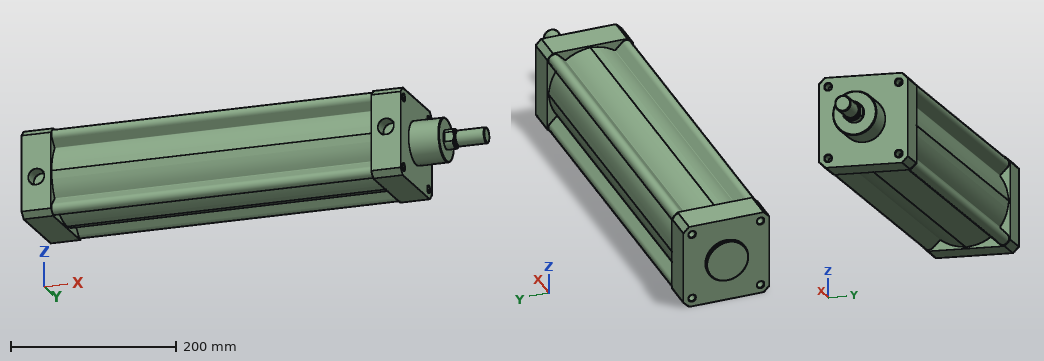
import cadquery as cq
import math

stroke = 350.0
stroke_allowance = 138.0
housing_length = stroke + stroke_allowance
cap_length = 38.0
rear_boss_length = 4.0
front_boss_length = 39.0
shank_length = 13.0
thread_length = 39.0

rear_cap_start = rear_boss_length
barrel_start = rear_cap_start + cap_length
barrel_length = housing_length - 2 * cap_length
front_cap_start = barrel_start + barrel_length
front_cap_end = front_cap_start + cap_length
rod_start = front_cap_end + front_boss_length

cap_width = 112.0
cap_corner_chamfer = 7.5
boss_diameter = 55.0
boss_chamfer = 1.0
bolt_pitch = 89.0
bolt_core_diameter = 8.5
bolt_countersink_diameter = 10.0
bolt_hole_depth = 16.0
port_diameter = 20.5
port_depth = 20.0
port_offset = 6.0

barrel_radius = 53.5
barrel_width = 108.4
ridge_half_width = 10.0
lobe_radius = 7.5
lobe_center = barrel_width / 2 - lobe_radius
valley_radius = 0.8

shank_diameter = 24.5
shank_chamfer = 1.5
wrench_flat_width = 21.5
wrench_flat_setback = 1.5
thread_diameter = 20.0
thread_chamfer = 1.0
undercut_diameter = 18.0
undercut_length = 2.0


def section_plane(x):
    """Plane square to the cylinder axis, its local x along +Y and its normal along +X."""
    return cq.Workplane("YZ", origin=(x, 0, 0))


def polar_point(radius, angle):
    """Point at an angle in degrees from +Y towards +Z."""
    return radius * math.cos(math.radians(angle)), radius * math.sin(math.radians(angle))


def make_cap(start, outward, boss_length, port_z):
    """End cap with a boss and four bolt holes on its outer face; outward is the X sign of that face."""
    cap = section_plane(start).rect(cap_width, cap_width).extrude(cap_length)
    cap = cap.edges("|X").chamfer(cap_corner_chamfer)

    outer_face = start + (cap_length if outward > 0 else 0)
    boss = section_plane(outer_face).circle(boss_diameter / 2).extrude(outward * boss_length)
    end_face = ">X" if outward > 0 else "<X"
    boss = boss.faces(end_face).edges().chamfer(boss_chamfer)
    cap = cap.union(boss)

    bolt_circles = section_plane(outer_face).rect(bolt_pitch, bolt_pitch, forConstruction=True).vertices()
    cap = cap.cut(bolt_circles.circle(bolt_core_diameter / 2).extrude(-outward * bolt_hole_depth))
    countersink_depth = (bolt_countersink_diameter - bolt_core_diameter) / 2
    for y_sign in (-1, 1):
        for z_sign in (-1, 1):
            countersink = cq.Solid.makeCone(
                bolt_countersink_diameter / 2,
                bolt_core_diameter / 2,
                countersink_depth,
                pnt=cq.Vector(outer_face, y_sign * bolt_pitch / 2, z_sign * bolt_pitch / 2),
                dir=cq.Vector(-outward, 0, 0),
            )
            cap = cap.cut(cq.Workplane(countersink))

    port = cq.Workplane("XZ", origin=(start + cap_length / 2, -cap_width / 2, port_z))
    return cap.cut(port.circle(port_diameter / 2).extrude(-port_depth))


def make_barrel():
    """Round body with a shallow ridge on each side and four tie-rod lobes on its diagonals."""
    ridge_edge_angle = math.degrees(math.asin(ridge_half_width / barrel_radius))
    outline = section_plane(barrel_start).moveTo(barrel_width / 2, 0)
    for quarter in range(4):
        start_angle = 90 * quarter
        outline = (
            outline.lineTo(*polar_point(barrel_radius, start_angle + ridge_edge_angle))
            .threePointArc(
                polar_point(barrel_radius, start_angle + 45),
                polar_point(barrel_radius, start_angle + 90 - ridge_edge_angle),
            )
            .lineTo(*polar_point(barrel_width / 2, start_angle + 90))
        )
    barrel = outline.close().extrude(barrel_length)

    lobe_distance = lobe_center * math.sqrt(2)
    for quarter in range(4):
        lobe = (
            section_plane(barrel_start)
            .transformed(rotate=(0, 0, 45 + 90 * quarter))
            .moveTo(0, -lobe_radius)
            .lineTo(lobe_distance, -lobe_radius)
            .threePointArc((lobe_distance + lobe_radius, 0), (lobe_distance, lobe_radius))
            .lineTo(0, lobe_radius)
            .close()
            .extrude(barrel_length)
        )
        barrel = barrel.union(lobe)

    valley_angle = math.degrees(math.asin(lobe_radius / barrel_radius))
    for quarter in range(4):
        for side in (-1, 1):
            valley = polar_point(barrel_radius, 45 + 90 * quarter + side * valley_angle)
            valley_middle = (barrel_start + barrel_length / 2, *valley)
            barrel = barrel.edges(cq.NearestToPointSelector(valley_middle)).fillet(valley_radius)
    return barrel


def make_rod():
    """Exposed rod end: plain shank with two wrench flats, undercut and a threaded stud."""
    shank_end = rod_start + shank_length
    shank = section_plane(rod_start).circle(shank_diameter / 2).extrude(shank_length)
    shank = shank.faces(">X").edges().chamfer(shank_chamfer)
    flats = section_plane(rod_start).rect(wrench_flat_width, shank_diameter).extrude(shank_length)
    collar = section_plane(rod_start).circle(shank_diameter / 2).extrude(wrench_flat_setback)
    shank = shank.intersect(flats.union(collar))

    undercut = section_plane(shank_end).circle(undercut_diameter / 2).extrude(undercut_length)
    stud_length = thread_length - undercut_length
    stud = section_plane(shank_end + undercut_length).circle(thread_diameter / 2).extrude(stud_length)
    stud = stud.faces(">X").edges().chamfer(thread_chamfer)
    return shank.union(undercut).union(stud)


rear_cap = make_cap(rear_cap_start, -1, rear_boss_length, -port_offset)
front_cap = make_cap(front_cap_start, 1, front_boss_length, port_offset)
barrel = make_barrel()
rod = make_rod()

result = cq.Compound.makeCompound([rear_cap.val(), barrel.val(), front_cap.val(), rod.val()])